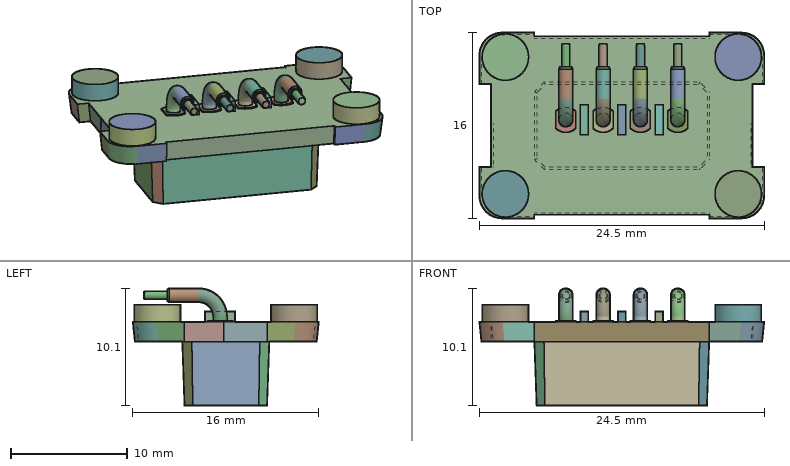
import cadquery as cq
import math

PLATE_LENGTH = 24.5
PLATE_WIDTH = 16.0
PLATE_THICKNESS = 1.7
PLATE_CORNER_RADIUS = 2.0
PLATE_DRAFT = 6.0
PLATE_INSET = PLATE_THICKNESS * math.tan(math.radians(PLATE_DRAFT))

LONG_RECESS_LENGTH = 15.05
LONG_RECESS_DEPTH = 0.32
SHORT_RECESS_LENGTH = 7.1
SHORT_RECESS_DEPTH = 1.0
SHORT_RECESS_SPLIT_Y = 0.2
CUTTER_MARGIN = 0.25

BODY_LENGTH = 15.05
BODY_WIDTH = 7.5
BODY_HEIGHT = 5.51
BODY_CHAMFER = 0.83
BODY_DRAFT = 2.0

FOOT_DIAMETER = 4.0
FOOT_HEIGHT = 1.5
FOOT_SPACING_X = 20.02
FOOT_SPACING_Y = 11.75

PIN_COUNT = 4
PIN_PITCH = 3.2
PIN_ROW_Y = 0.5
PIN_DIAMETER = 1.2
PIN_TOP_HEIGHT = 2.9
PIN_AXIS_HEIGHT = PIN_TOP_HEIGHT - PIN_DIAMETER / 2
PIN_BEND_RADIUS = 1.84
PIN_SHOULDER_Y = 5.05
PIN_SHOULDER_CHAMFER_LENGTH = 0.2
PIN_SHOULDER_CHAMFER_DEPTH = 0.1
TIP_DIAMETER = 0.7
TIP_LENGTH = 1.98
TIP_CHAMFER_LENGTH = 0.17
TIP_CHAMFER_DEPTH = 0.05

PAD_WIDTH = 1.72
PAD_LENGTH = 2.15
PAD_END_RADIUS = 1.25
PAD_HEIGHT = 0.1

WALL_THICKNESS = 0.69
WALL_LENGTH = 2.6
WALL_HEIGHT = 0.9


def centred_row(count):
    """X positions of a row at pin pitch, centred on the part."""
    return [(i - (count - 1) / 2) * PIN_PITCH for i in range(count)]


def recess_cutter(wall_distance, outer_distance, start, end, bottom_inset):
    """Block that cuts a recess on the +X side between two Y values; its wall leans in by bottom_inset."""
    profile = [
        (wall_distance, 0),
        (outer_distance, 0),
        (outer_distance, -PLATE_THICKNESS),
        (wall_distance - bottom_inset, -PLATE_THICKNESS),
    ]
    return cq.Workplane("XZ", origin=(0, start, 0)).polyline(profile).close().extrude(start - end)


def make_plate():
    plate = (
        cq.Workplane("XY")
        .rect(PLATE_LENGTH, PLATE_WIDTH)
        .extrude(-PLATE_THICKNESS, taper=PLATE_DRAFT)
        .edges("not(#Z or |X or |Y)")
        .fillet(PLATE_CORNER_RADIUS)
    )

    half_length = PLATE_LENGTH / 2
    half_width = PLATE_WIDTH / 2
    long_half = LONG_RECESS_LENGTH / 2
    short_half = SHORT_RECESS_LENGTH / 2

    long_recess = recess_cutter(
        half_width - LONG_RECESS_DEPTH, half_width + CUTTER_MARGIN, -long_half, long_half, PLATE_INSET
    ).rotate((0, 0, 0), (0, 0, 1), 90)
    short_wall = half_length - SHORT_RECESS_DEPTH
    short_outer = half_length + CUTTER_MARGIN
    short_recess = recess_cutter(
        short_wall, short_outer, -short_half, SHORT_RECESS_SPLIT_Y, PLATE_INSET
    ).union(recess_cutter(short_wall, short_outer, SHORT_RECESS_SPLIT_Y, short_half, 0))

    for recess, mirror_plane in ((long_recess, "XZ"), (short_recess, "YZ")):
        plate = plate.cut(recess).cut(recess.mirror(mirror_plane))
    return plate


def make_body():
    outline = cq.Sketch().rect(BODY_LENGTH, BODY_WIDTH).vertices().chamfer(BODY_CHAMFER)
    return (
        cq.Workplane("XY", origin=(0, 0, -PLATE_THICKNESS))
        .placeSketch(outline)
        .extrude(-BODY_HEIGHT, taper=BODY_DRAFT)
    )


def make_feet():
    return (
        cq.Workplane("XY")
        .rect(FOOT_SPACING_X, FOOT_SPACING_Y, forConstruction=True)
        .vertices()
        .circle(FOOT_DIAMETER / 2)
        .extrude(FOOT_HEIGHT)
    )


def make_pin(x):
    """Pin that rises from the plate, bends towards +Y and ends in a thinner tip."""
    bend_start_height = PIN_AXIS_HEIGHT - PIN_BEND_RADIUS
    bend_end_y = PIN_ROW_Y + PIN_BEND_RADIUS
    bend_mid_offset = PIN_BEND_RADIUS * math.sin(math.radians(45))

    axis_path = (
        cq.Workplane("YZ", origin=(x, 0, 0))
        .moveTo(PIN_ROW_Y, 0)
        .lineTo(PIN_ROW_Y, bend_start_height)
        .threePointArc(
            (bend_end_y - bend_mid_offset, bend_start_height + bend_mid_offset),
            (bend_end_y, PIN_AXIS_HEIGHT),
        )
    )
    bent_part = cq.Workplane("XY", origin=(x, PIN_ROW_Y, 0)).circle(PIN_DIAMETER / 2).sweep(axis_path)

    pin_radius = PIN_DIAMETER / 2
    tip_radius = TIP_DIAMETER / 2
    tip_end_y = PIN_SHOULDER_Y + TIP_LENGTH
    turned_profile = [
        (bend_end_y, 0),
        (bend_end_y, pin_radius),
        (PIN_SHOULDER_Y - PIN_SHOULDER_CHAMFER_LENGTH, pin_radius),
        (PIN_SHOULDER_Y, pin_radius - PIN_SHOULDER_CHAMFER_DEPTH),
        (PIN_SHOULDER_Y, tip_radius),
        (tip_end_y - TIP_CHAMFER_LENGTH, tip_radius),
        (tip_end_y, tip_radius - TIP_CHAMFER_DEPTH),
        (tip_end_y, 0),
    ]
    straight_part = (
        cq.Workplane("YZ", origin=(x, 0, PIN_AXIS_HEIGHT))
        .polyline(turned_profile)
        .close()
        .revolve(360, (0, 0), (1, 0))
    )
    return bent_part.union(straight_part)


def make_pad(x):
    half_width = PAD_WIDTH / 2
    half_length = PAD_LENGTH / 2
    end_rise = PAD_END_RADIUS - math.sqrt(PAD_END_RADIUS**2 - half_width**2)
    side_end = half_length - end_rise
    return (
        cq.Workplane("XY", origin=(x, PIN_ROW_Y, 0))
        .moveTo(-half_width, -side_end)
        .threePointArc((0, -half_length), (half_width, -side_end))
        .lineTo(half_width, side_end)
        .threePointArc((0, half_length), (-half_width, side_end))
        .close()
        .extrude(PAD_HEIGHT)
    )


def make_wall(x):
    return (
        cq.Workplane("XY", origin=(x, PIN_ROW_Y, 0))
        .rect(WALL_THICKNESS, WALL_LENGTH)
        .extrude(WALL_HEIGHT)
    )


result = make_plate().union(make_body()).union(make_feet())
for pin_x in centred_row(PIN_COUNT):
    result = result.union(make_pad(pin_x)).union(make_pin(pin_x))
for wall_x in centred_row(PIN_COUNT - 1):
    result = result.union(make_wall(wall_x))